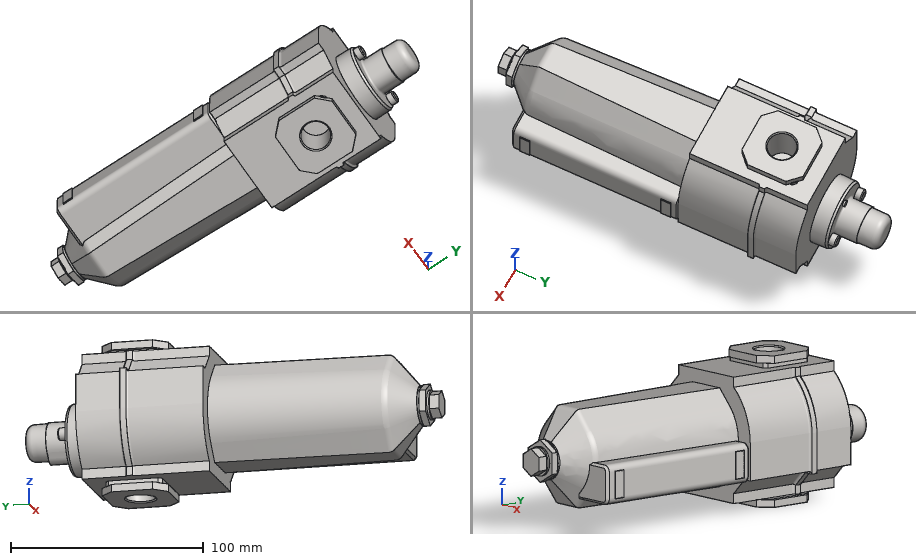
import cadquery as cq
import math


HOUSING_BACK = 25.7
HOUSING_FRONT = -42.5
HOUSING_HALF_WIDTH = 35.5
HOUSING_HALF_HEIGHT = 33.5
NECK_HALF_WIDTH = 22.1
STEP_HEIGHT = 19.5
NECK_CORNER = 28.0
ROUND_SIDE_START = 0.7
ROUND_SIDE_BULGE = 3.3
BAND_RISE = 1.3
BAND_THICKNESS = 3.3
BAND_FILLET = 1.0

PORT_TOP = 40.0
PORT_PLATE_BOTTOM = 36.0
PORT_PLATE_WIDTH = 35.5
PORT_PLATE_CHAMFER = 6.6
PORT_NECK_WIDTH = 30.0
PORT_NECK_CHAMFER = 1.8
PORT_RADIUS = 7.7
PORT_EDGE_CHAMFER = 0.7
PORT_DEPTH = 22.1

FLAT_HEIGHT = 26.0
BOWL_BACK_RADIUS = 25.9
BOWL_BACK_FLAT = 10.8
BOWL_FRONT_RADIUS = 23.5
BOWL_FRONT_FLAT = 8.0
BOWL_EDGE = -136.7
BOWL_EDGE_FILLET = 4.5
TIP_END = -150.5
TIP_RADIUS = 9.7
TIP_FLAT = 3.3
TIP_FLAT_HEIGHT = 10.0

COLLAR_RADIUS = 10.5
COLLAR_END = -151.5
DRAIN_NUT_FLATS = 19.5
DRAIN_NUT_END = -155.0
DRAIN_RING_RADIUS = 7.7
DRAIN_RING_END = -156.2
DRAIN_PLUG_FLATS = 12.6
DRAIN_PLUG_END = -161.3

GAUGE_OUTER_X = 35.2
GAUGE_INNER_X = 11.0
GAUGE_TOP = 0.5
GAUGE_BOTTOM = -20.4
GAUGE_END = -139.2
GAUGE_CORNER = 3.5
GAUGE_END_CHAMFER = 1.3
TAB_RISE = 0.7
TAB_LENGTH = 5.8
TAB_HEIGHT = 14.5
TAB_CENTERS = (-49.5, -131.2)

COVER_Z = -6.6
FLANGE_RADIUS = 19.2
FLANGE_TOP = 35.8
FLANGE_CHAMFER_HEIGHT = 1.3
FLANGE_CHAMFER_WIDTH = 0.7
DRAFT = 1.0
STEM_RADIUS = 10.5
STEM_TOP = 48.2
STEM_FILLET = 1.0
NOSE_RADIUS = 6.6
DOME_RADIUS = 10.0
DOME_TOP = 60.0
DOME_FILLET = 4.0
PIP_RADIUS = 1.8
PIP_Z = 7.5
PIP_RISE = 1.0
SCREW_SPACING = 30.0
SCREW_RADIUS = 3.3
SCREW_HEIGHT = 4.0
SCREW_CHAMFER = 0.7

TOLERANCE = 0.02


def cross_plane(y, z=0):
    """Plane across the bowl axis; it extrudes toward -Y."""
    return cq.Workplane("XZ", origin=(0, y, z))


def back_plane(y, z=0):
    """Plane across the bowl axis that extrudes toward +Y; its local x is -X."""
    return cq.Workplane("XZ", origin=(0, y, z)).transformed(rotate=(0, 180, 0))


def edges_at(body, y):
    """Edges lying in the plane across the bowl axis at `y`."""
    return [
        edge
        for edge in body.edges().vals()
        if abs(edge.Center().y - y) < TOLERANCE and edge.BoundingBox().ylen < TOLERANCE
    ]


def housing_outline(y):
    """Closed outline with a round and a stepped side, the same when turned half a turn."""
    side = HOUSING_HALF_WIDTH
    neck = NECK_HALF_WIDTH
    top = HOUSING_HALF_HEIGHT
    step_x = neck + NECK_CORNER - STEP_HEIGHT
    return (
        cross_plane(y)
        .moveTo(neck, top)
        .lineTo(neck, NECK_CORNER)
        .sagittaArc((side, ROUND_SIDE_START), ROUND_SIDE_BULGE)
        .lineTo(side, -STEP_HEIGHT)
        .lineTo(step_x, -STEP_HEIGHT)
        .lineTo(neck, -NECK_CORNER)
        .lineTo(neck, -top)
        .lineTo(-neck, -top)
        .lineTo(-neck, -NECK_CORNER)
        .sagittaArc((-side, -ROUND_SIDE_START), ROUND_SIDE_BULGE)
        .lineTo(-side, STEP_HEIGHT)
        .lineTo(-step_x, STEP_HEIGHT)
        .lineTo(-neck, NECK_CORNER)
        .lineTo(-neck, top)
        .close()
    )


def add_band(body):
    """Raised band round both sides of the housing, filleted into them."""
    half = BAND_THICKNESS / 2
    core = housing_outline(half).extrude(BAND_THICKNESS)
    top_to_bottom = cq.Workplane("XY").box(4 * HOUSING_HALF_WIDTH, BAND_THICKNESS, 2 * HOUSING_HALF_HEIGHT)
    band = (
        housing_outline(half)
        .offset2D(BAND_RISE, "intersection")
        .extrude(BAND_THICKNESS)
        .intersect(top_to_bottom)
    )
    body = body.union(band)
    roots = []
    for edge in body.edges().vals():
        middle = edge.positionAt(0.5)
        on_band_face = abs(abs(middle.y) - half) < TOLERANCE
        at_side = abs(middle.z) < HOUSING_HALF_HEIGHT - TOLERANCE
        on_core = core.val().distance(cq.Vertex.makeVertex(*middle.toTuple())) < TOLERANCE
        if on_band_face and at_side and on_core:
            roots.append(edge)
    return body.newObject(roots).fillet(BAND_FILLET)


def chamfered_square(bottom, top, width, chamfer):
    return (
        cq.Workplane("XY", origin=(0, 0, bottom))
        .rect(width, width)
        .extrude(top - bottom)
        .edges("|Z")
        .chamfer(chamfer)
    )


def add_port(body, turn):
    """Square port boss with a blind hole, built on top and turned about the bowl axis."""
    neck = chamfered_square(HOUSING_HALF_HEIGHT, PORT_PLATE_BOTTOM, PORT_NECK_WIDTH, PORT_NECK_CHAMFER)
    plate = chamfered_square(PORT_PLATE_BOTTOM, PORT_TOP, PORT_PLATE_WIDTH, PORT_PLATE_CHAMFER)
    hole = (
        cq.Workplane("XZ")
        .moveTo(0, PORT_TOP)
        .lineTo(PORT_RADIUS + PORT_EDGE_CHAMFER, PORT_TOP)
        .lineTo(PORT_RADIUS, PORT_TOP - PORT_EDGE_CHAMFER)
        .lineTo(PORT_RADIUS, PORT_TOP - PORT_DEPTH)
        .lineTo(0, PORT_TOP - PORT_DEPTH)
        .close()
        .revolve(360, (0, 0), (0, 1))
    )
    boss = neck.union(plate).rotate((0, 0, 0), (0, 1, 0), turn)
    return body.union(boss).cut(hole.rotate((0, 0, 0), (0, 1, 0), turn))


def make_housing():
    body = housing_outline(HOUSING_BACK).extrude(HOUSING_BACK - HOUSING_FRONT)
    body = add_band(body)
    for turn in (0, 180):
        body = add_port(body, turn)
    return body


def bowl_section(y, radius, flat, height):
    """Circle with a flat above and below, joined to the flats by tangent lines."""
    corner_distance = math.hypot(flat, height)
    tangent_angle = math.atan2(height, flat) - math.acos(radius / corner_distance)
    x = radius * math.cos(tangent_angle)
    z = radius * math.sin(tangent_angle)
    return (
        cross_plane(y)
        .moveTo(x, -z)
        .threePointArc((radius, 0), (x, z))
        .lineTo(flat, height)
        .lineTo(-flat, height)
        .lineTo(-x, z)
        .threePointArc((-radius, 0), (-x, -z))
        .lineTo(-flat, -height)
        .lineTo(flat, -height)
        .close()
        .val()
    )


def make_shell():
    """Tapered barrel running into a steep cone, with a rounded edge between them."""
    back = bowl_section(HOUSING_FRONT, BOWL_BACK_RADIUS, BOWL_BACK_FLAT, FLAT_HEIGHT)
    edge = bowl_section(BOWL_EDGE, BOWL_FRONT_RADIUS, BOWL_FRONT_FLAT, FLAT_HEIGHT)
    tip = bowl_section(TIP_END, TIP_RADIUS, TIP_FLAT, TIP_FLAT_HEIGHT)
    barrel = cq.Workplane(obj=cq.Solid.makeLoft([back, edge], True))
    cone = cq.Workplane(obj=cq.Solid.makeLoft([edge, tip], True))
    shell = barrel.union(cone)
    return shell.newObject(edges_at(shell, BOWL_EDGE)).fillet(BOWL_EDGE_FILLET)


def hexagon(start, end, across_flats):
    """Hexagonal prism along Y with corners at the top and bottom."""
    corner_diameter = across_flats / math.cos(math.pi / 6)
    return (
        cross_plane(start)
        .transformed(rotate=(0, 0, 90))
        .polygon(6, corner_diameter)
        .extrude(start - end)
    )


def disc(start, end, radius):
    return cross_plane(start).circle(radius).extrude(start - end)


def make_drain():
    collar = disc(TIP_END, COLLAR_END, COLLAR_RADIUS)
    nut = hexagon(COLLAR_END, DRAIN_NUT_END, DRAIN_NUT_FLATS)
    ring = disc(DRAIN_NUT_END, DRAIN_RING_END, DRAIN_RING_RADIUS)
    plug = hexagon(DRAIN_RING_END, DRAIN_PLUG_END, DRAIN_PLUG_FLATS)
    return collar.union(nut).union(ring).union(plug)


def make_gauge():
    """Rectangular rib with two small tabs on its outer face."""
    width = GAUGE_OUTER_X - GAUGE_INNER_X
    length = HOUSING_FRONT - GAUGE_END
    rib = (
        cq.Workplane("XY")
        .box(width, length, GAUGE_TOP - GAUGE_BOTTOM, centered=False)
        .translate((GAUGE_INNER_X, GAUGE_END, GAUGE_BOTTOM))
        .edges("|Y and >X")
        .fillet(GAUGE_CORNER)
        .faces("<Y or >Y")
        .edges()
        .chamfer(GAUGE_END_CHAMFER)
    )
    for y in TAB_CENTERS:
        tab = (
            cq.Workplane("YZ", origin=(GAUGE_OUTER_X, y, (GAUGE_TOP + GAUGE_BOTTOM) / 2))
            .rect(TAB_LENGTH, TAB_HEIGHT)
            .extrude(TAB_RISE)
        )
        rib = rib.union(tab)
    return rib


def make_bowl():
    return make_shell().union(make_gauge()).union(make_drain())


def tapered_disc(start, end, radius):
    """Disc on the cover axis that narrows slightly toward +Y."""
    end_radius = radius - (end - start) * math.tan(math.radians(DRAFT))
    return (
        cq.Workplane("YZ", origin=(0, 0, COVER_Z))
        .polyline([(start, 0), (start, radius), (end, end_radius), (end, 0)])
        .close()
        .revolve(360, (0, 0), (1, 0))
    )


def make_stem():
    """Teardrop column: a large circle and a lower nose joined by 45 degree tangents."""
    nose_z = -(STEM_RADIUS - NOSE_RADIUS) * math.sqrt(2)
    side = STEM_RADIUS * math.sqrt(0.5)
    nose_side = NOSE_RADIUS * math.sqrt(0.5)
    return (
        back_plane(FLANGE_TOP, COVER_Z)
        .moveTo(-side, -side)
        .threePointArc((0, STEM_RADIUS), (side, -side))
        .lineTo(nose_side, nose_z - nose_side)
        .threePointArc((0, nose_z - NOSE_RADIUS), (-nose_side, nose_z - nose_side))
        .close()
        .extrude(STEM_TOP - FLANGE_TOP)
    )


def make_cover():
    flange = tapered_disc(HOUSING_BACK, FLANGE_TOP, FLANGE_RADIUS)
    flange = flange.faces(">Y").edges().chamfer(FLANGE_CHAMFER_HEIGHT, FLANGE_CHAMFER_WIDTH)
    body = flange.union(make_stem())
    stem_width = 2 * STEM_RADIUS + TOLERANCE
    foot = [edge for edge in edges_at(body, FLANGE_TOP) if edge.BoundingBox().xlen < stem_width]
    body = body.newObject(foot).fillet(STEM_FILLET)
    dome = tapered_disc(STEM_TOP, DOME_TOP, DOME_RADIUS)
    dome = dome.faces(">Y").edges().fillet(DOME_FILLET)
    pip = back_plane(FLANGE_TOP, PIP_Z).circle(PIP_RADIUS).extrude(PIP_RISE)
    return body.union(dome).union(pip)


def make_screw(x):
    """Screw head resting on the flange."""
    return (
        back_plane(FLANGE_TOP, COVER_Z)
        .circle(SCREW_RADIUS)
        .extrude(SCREW_HEIGHT)
        .faces(">Y")
        .edges()
        .chamfer(SCREW_CHAMFER)
        .translate((x, 0, 0))
    )


housing = make_housing()
bowl = make_bowl()
cover = make_cover()
screws = [make_screw(side * SCREW_SPACING / 2) for side in (-1, 1)]

result = cq.Compound.makeCompound(
    [housing.val(), bowl.val(), cover.val(), *[screw.val() for screw in screws]]
)